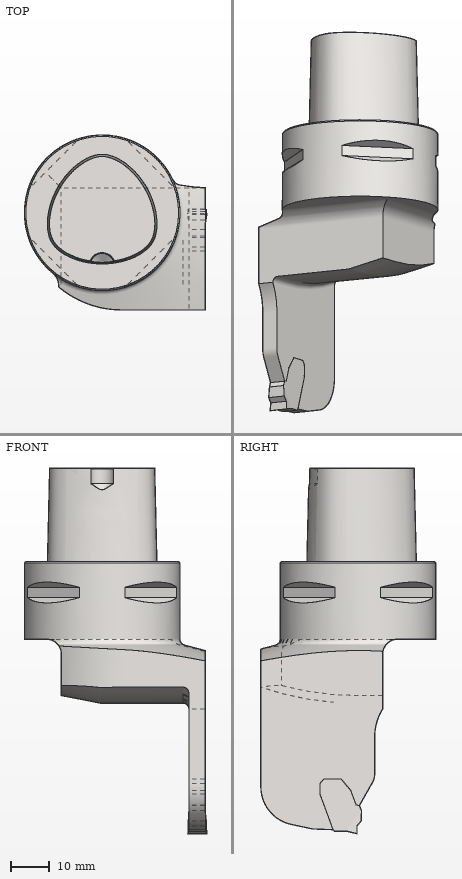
import cadquery as cq
import math


overall_height = 94.0

shank_height = 24.0
shank_base_radius = 14.1
shank_top_radius = 13.5
lobe_height = 0.9
lobe_count = 3
faces_per_turn = 2 * lobe_count
points_per_face = 9

notch_radius = 3.1
notch_mouth_chamfer = 0.2
notch_offset = 13.5
notch_depth = 3.95
drill_point_angle = 110

flange_radius = 20.0
flange_height = 20.0
flange_chamfer = 0.4
groove_floor_distance = 17.7
groove_floor_height = 2.6
groove_mouth_height = 5.4
groove_middle_z = -8.0
groove_count = 4

arm_left = -10.5
arm_right = 26.5
arm_back = 6.4
arm_front = -25.0
rounded_front_center_x = 5.0
cove_radius = 3.8
shoulder_slope = 15
shoulder_fillet = 1.5

belly_z = -36.5
belly_arc_radius = 77.1
belly_crease_x = -0.4
belly_tilt = 11
plate_fillet = 1.5

plate_thickness = 4.2
plate_left = arm_right - plate_thickness
plate_back = 4.3
plate_neck_top_z = -37.9
plate_neck_bottom_z = -45.1
plate_bend_z = -55.8
plate_bend_tangent = 1.0
plate_bend_angle = 30
plate_corner_radius = 10.0
plate_corner_z = -57.9
plate_corner_sweep = 79
plate_bottom_bend = (-11.7, -68.8)

insert_back_top = (0.4, -62.8)
insert_tip = (-0.2, shank_height - overall_height)
insert_front_bottom = (-6.4, -69.0)
insert_nose_back = (0.9, -64.0)
insert_nose_front = (-2.9, -69.4)
insert_seat_corners = [
    (-0.5, -62.6),
    (-1.9, -58.8),
    (-4.3, -55.9),
    (-8.7, -55.9),
    (-9.8, -57.1),
    (-9.8, -59.8),
]
insert_heel = (-6.0, -69.4)
insert_tip_relief = (insert_tip[0], -68.0)
insert_nose_bend = (0.8, -66.7)
insert_left_swell = 0.3
insert_right_swell = 0.5

margin = 4.7

flange_bottom = -flange_height
lowest_z = insert_tip[1]


def lobed_wire(mean_radius, z):
    """Constant-width polygon with one lobe toward +Y, split into equal-angle faces."""
    def point(angle):
        reach = mean_radius - lobe_height * math.sin(lobe_count * angle)
        change = -lobe_count * lobe_height * math.cos(lobe_count * angle)
        x = reach * math.cos(angle) - change * math.sin(angle)
        y = reach * math.sin(angle) + change * math.cos(angle)
        return cq.Vector(x, y, z)

    def direction(angle):
        return cq.Vector(-math.sin(angle), math.cos(angle), 0)

    face_angle = 2 * math.pi / faces_per_turn
    edges = []
    for face in range(faces_per_turn):
        start = face * face_angle
        steps = [start + face_angle * i / (points_per_face - 1) for i in range(points_per_face)]
        ends = [direction(steps[0]), direction(steps[-1])]
        edges.append(cq.Edge.makeSpline([point(angle) for angle in steps], tangents=ends))
    return cq.Wire.assembleEdges(edges)


def make_shank():
    base = lobed_wire(shank_base_radius, 0)
    top = lobed_wire(shank_top_radius, shank_height)
    shank = cq.Workplane(cq.Solid.makeLoft([base, top], True))

    shoulder_z = shank_height - notch_depth
    point_z = shoulder_z - notch_radius / math.tan(math.radians(drill_point_angle / 2))
    notch = (
        cq.Workplane("XZ")
        .moveTo(0, point_z)
        .lineTo(notch_radius, shoulder_z)
        .lineTo(notch_radius, shank_height - notch_mouth_chamfer)
        .lineTo(notch_radius + notch_mouth_chamfer, shank_height)
        .lineTo(0, shank_height)
        .close()
        .revolve(360, (0, 0), (0, 1))
        .translate((0, -notch_offset, 0))
    )
    return shank.cut(notch)


def make_groove():
    """V-sided gripper groove with a flat floor, on the +X side."""
    flare = (groove_mouth_height - groove_floor_height) / 2 / (flange_radius - groove_floor_distance)
    outer_x = flange_radius + margin
    floor_half = groove_floor_height / 2
    outer_half = floor_half + flare * (outer_x - groove_floor_distance)
    return (
        cq.Workplane("XZ")
        .moveTo(groove_floor_distance, groove_middle_z - floor_half)
        .lineTo(outer_x, groove_middle_z - outer_half)
        .lineTo(outer_x, groove_middle_z + outer_half)
        .lineTo(groove_floor_distance, groove_middle_z + floor_half)
        .close()
        .extrude(flange_radius, both=True)
    )


def make_flange():
    flange = cq.Workplane("XY").circle(flange_radius).extrude(-flange_height)
    flange = flange.faces(">Z").edges().chamfer(flange_chamfer)
    pitch = 360 / groove_count
    for index in range(groove_count):
        angle = (index + 0.5) * pitch
        flange = flange.cut(make_groove().rotate((0, 0, 0), (0, 0, 1), angle))
    return flange


def make_plan_outline():
    """Arm seen along Z: square on the right, rounded at the front left."""
    front_radius = -arm_front
    return (
        cq.Workplane("XY")
        .moveTo(arm_right, arm_front)
        .lineTo(rounded_front_center_x, arm_front)
        .radiusArc((rounded_front_center_x - front_radius, 0), front_radius)
        .lineTo(rounded_front_center_x - front_radius, flange_radius)
        .lineTo(arm_right, flange_radius)
        .close()
        .extrude(lowest_z)
    )


def make_left_profile():
    """Arm seen along Y: the left side flares into the flange with a cove."""
    return (
        cq.Workplane("XZ")
        .moveTo(arm_left - cove_radius, flange_bottom)
        .radiusArc((arm_left, flange_bottom - cove_radius), cove_radius)
        .lineTo(arm_left, lowest_z)
        .lineTo(arm_right, lowest_z)
        .lineTo(arm_right, flange_bottom)
        .close()
        .extrude(flange_radius - arm_front, both=True)
    )


def make_side_profile():
    """Arm seen along X: cove, waist, bend toward the insert and rounded front corner."""
    bend = math.radians(plate_bend_angle)
    bend_end = (
        plate_back - plate_bend_tangent * math.sin(bend),
        plate_bend_z - plate_bend_tangent * math.cos(bend),
    )
    sweep = math.radians(plate_corner_sweep)
    corner_end = (
        arm_front + plate_corner_radius * (1 - math.cos(sweep)),
        plate_corner_z - plate_corner_radius * math.sin(sweep),
    )
    waist_drop = plate_neck_top_z - plate_neck_bottom_z
    waist_step = arm_back - plate_back
    waist_radius = (waist_drop**2 + waist_step**2) / (2 * waist_step)
    return (
        cq.Workplane("YZ")
        .moveTo(arm_front, flange_bottom)
        .lineTo(arm_back + cove_radius, flange_bottom)
        .radiusArc((arm_back, flange_bottom - cove_radius), -cove_radius)
        .lineTo(arm_back, plate_neck_top_z)
        .radiusArc((plate_back, plate_neck_bottom_z), -waist_radius)
        .lineTo(plate_back, plate_bend_z + plate_bend_tangent)
        .tangentArcPoint(bend_end, relative=False)
        .lineTo(*insert_back_top)
        .lineTo(*insert_front_bottom)
        .lineTo(*plate_bottom_bend)
        .lineTo(*corner_end)
        .radiusArc((arm_front, plate_corner_z), plate_corner_radius)
        .close()
        .extrude(arm_right - arm_left, both=True)
    )


def make_shoulder():
    """Conical envelope that slopes away from the flange, with a fillet at its root."""
    slope = math.radians(shoulder_slope)
    tangent = shoulder_fillet * math.tan(math.radians((90 - shoulder_slope) / 2))
    fillet_end_r = flange_radius + tangent * math.cos(slope)
    fillet_end_z = flange_bottom - tangent - tangent * math.sin(slope)
    outer_radius = math.hypot(arm_right, arm_front) + margin
    outer_z = fillet_end_z - (outer_radius - fillet_end_r) * math.tan(slope)
    return (
        cq.Workplane("XZ")
        .moveTo(0, flange_bottom)
        .lineTo(flange_radius, flange_bottom)
        .radiusArc((fillet_end_r, fillet_end_z), -shoulder_fillet)
        .lineTo(outer_radius, outer_z)
        .lineTo(outer_radius, lowest_z)
        .lineTo(0, lowest_z)
        .close()
        .revolve(360, (0, 0), (0, 1))
    )


def make_belly_space(start_x, end_x):
    """Empty space below the block: flat at the back, rising in an arc to the front."""
    front_y = arm_front - margin
    front_z = belly_z + belly_arc_radius - math.sqrt(belly_arc_radius**2 - front_y**2)
    bottom_z = lowest_z - margin
    return (
        cq.Workplane("YZ", origin=(start_x, 0, 0))
        .moveTo(arm_back + margin, belly_z)
        .lineTo(0, belly_z)
        .tangentArcPoint((front_y, front_z), relative=False)
        .lineTo(front_y, bottom_z)
        .lineTo(arm_back + margin, bottom_z)
        .close()
        .extrude(end_x - start_x)
    )


def make_arm():
    arm = make_plan_outline().intersect(make_left_profile())
    arm = arm.intersect(make_side_profile())
    arm = arm.intersect(make_shoulder())

    level_space = make_belly_space(arm_left - margin, plate_left)
    level_space = level_space.faces(">X").edges().fillet(plate_fillet)
    crease_start = (belly_crease_x, 0, belly_z)
    crease_end = (belly_crease_x, 1, belly_z)
    tilted_space = make_belly_space(arm_left - margin, belly_crease_x)
    tilted_space = tilted_space.rotate(crease_start, crease_end, belly_tilt)
    return arm.cut(level_space).cut(tilted_space)


def extrude_insert_outline(left_x, right_x):
    return (
        cq.Workplane("YZ", origin=(left_x, 0, 0))
        .polyline([
            insert_back_top,
            *insert_seat_corners,
            insert_front_bottom,
            insert_heel,
            insert_nose_front,
            insert_tip,
            insert_tip_relief,
            insert_nose_bend,
            insert_nose_back,
        ])
        .close()
        .extrude(right_x - left_x)
    )


def make_insert():
    """Insert level with the plate, swelling on both sides toward the cutting tip."""
    body = extrude_insert_outline(plate_left, arm_right)

    fold_y = insert_nose_front[0] - insert_nose_back[0]
    fold_z = insert_nose_front[1] - insert_nose_back[1]
    fold_length = math.hypot(fold_y, fold_z)
    outward = (0, -fold_z / fold_length, fold_y / fold_length)
    along = (0, fold_y / fold_length, fold_z / fold_length)
    tip_reach = (
        (insert_tip[0] - insert_nose_back[0]) * outward[1]
        + (insert_tip[1] - insert_nose_back[1]) * outward[2]
    )

    plane = cq.Plane(origin=(plate_left, *insert_nose_back), xDir=outward, normal=along)
    nose = (
        cq.Workplane(plane)
        .moveTo(0, 0)
        .lineTo(tip_reach, -insert_left_swell)
        .lineTo(tip_reach, plate_thickness + insert_right_swell)
        .lineTo(0, plate_thickness)
        .close()
        .extrude(2 * fold_length, both=True)
    )
    wide = extrude_insert_outline(plate_left - insert_left_swell, arm_right + insert_right_swell)
    return body.union(nose.intersect(wide))


insert = make_insert()
holder = make_shank().union(make_flange()).union(make_arm())
holder = holder.cut(insert)

result = cq.Compound.makeCompound([holder.solids().val(), insert.solids().val()])